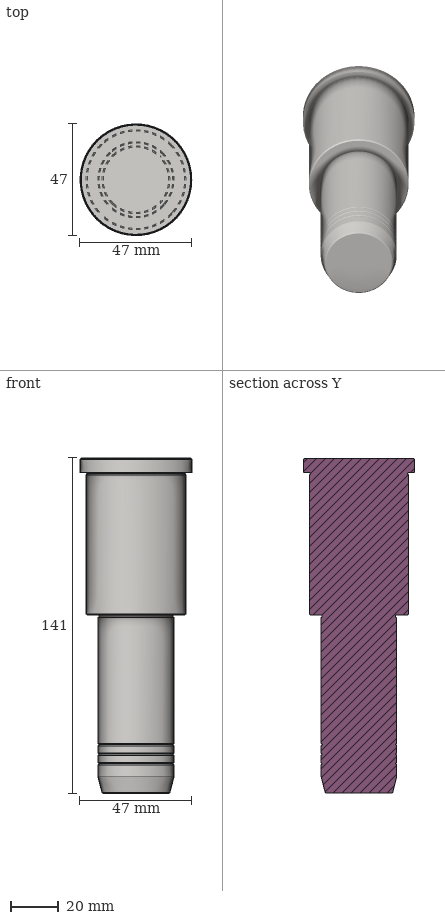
import cadquery as cq
import math

total_length = 141.0
head_thickness = 6.0
pin_length = 75.0
tip_length = 7.0

head_radius = 47.0 / 2
shank_radius = 42.0 / 2
pin_radius = 32.0 / 2

tip_angle = 14.5
tip_radius = pin_radius - tip_length * math.tan(math.radians(tip_angle))

edge_chamfer = 0.5
tip_chamfer = 0.4

relief_depth = 0.4
relief_height = 1.0

groove_width = 1.0
groove_depth = groove_width / 2
groove_count = 3
groove_pitch = 4 * groove_width
first_groove_bottom = 12.0
first_groove_root = first_groove_bottom + groove_width / 2

head_bottom = total_length - head_thickness


def cylinder(radius, bottom, top):
    """Solid cylinder on the Z axis between two heights."""
    return cq.Workplane("XY").workplane(offset=bottom).circle(radius).extrude(top - bottom)


def v_groove(surface_radius, root_height):
    """Ring that cuts a V groove into a cylinder, with the root at the given height."""
    half_width = groove_width / 2
    profile = (
        cq.Workplane("XZ")
        .moveTo(surface_radius - groove_depth, root_height)
        .lineTo(surface_radius, root_height - half_width)
        .lineTo(surface_radius, root_height + half_width)
        .close()
    )
    return profile.revolve(360, (0, 0), (0, 1))


def make_head():
    head = cylinder(head_radius, head_bottom, total_length)
    return head.faces(">Z").edges().chamfer(edge_chamfer)


def make_shank():
    shank = cylinder(shank_radius, pin_length, head_bottom)
    shank = shank.faces("<Z").edges().chamfer(edge_chamfer)
    return shank.cut(v_groove(shank_radius, head_bottom - groove_width / 2))


def make_pin():
    relief_bottom = pin_length - relief_height
    pin = cylinder(pin_radius, tip_length, relief_bottom)
    pin = pin.union(cylinder(pin_radius - relief_depth, relief_bottom, pin_length))
    for index in range(groove_count):
        pin = pin.cut(v_groove(pin_radius, first_groove_root + index * groove_pitch))
    return pin


def make_tip():
    tip = cq.Workplane("XY").circle(tip_radius).workplane(offset=tip_length).circle(pin_radius).loft()
    return tip.faces("<Z").edges().chamfer(tip_chamfer)


result = make_head().union(make_shank()).union(make_pin()).union(make_tip())